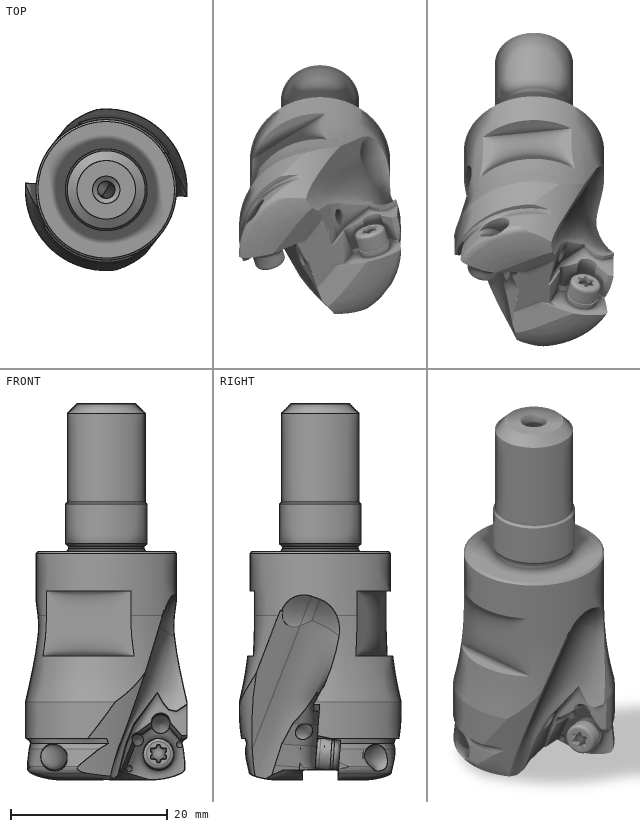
import cadquery as cq
import math


TOTAL_HEIGHT = 48.24
SHANK_RADIUS = 5.0
SHANK_CHAMFER = 1.25
PILOT_RADIUS = 5.25
PILOT_TOP_Z = 35.6
PILOT_BOTTOM_Z = 30.3
NECK_RADIUS = 4.85
NECK_BOTTOM_RADIUS = 5.05
NECK_STEP_HEIGHT = 0.35
SHOULDER_Z = 29.3
SHOULDER_RADIUS = 9.0
SMALL_CHAMFER = 0.25
FLARE_START_Z = 21.1
FLARE_END_Z = 10.0
CUTTER_RADIUS = 10.365
RIM_BOTTOM_Z = 5.3

BORE_RADIUS = 1.1
BORE_MOUTH_RADIUS = 1.75
BORE_MOUTH_DEPTH = 0.8
BORE_BOTTOM_Z = 9.0
BRANCH_RADIUS = 1.0
BRANCH_START = cq.Vector(0, 0, 9.5)
BRANCH_END = cq.Vector(4.2, -2.73, 5.16)

FLAT_WIDTH_ACROSS = 13.9
FLAT_TURN = 19.0
FLAT_BOTTOM_Z = 15.9
FLAT_TOP_Z = 24.2

TIP_SHIFT_X = 0.4
TIP_SHIFT_Y = -0.3
GROOVE_RADIUS = 9.95
GROOVE_LOWER_RADIUS = 9.75
GROOVE_LOWER_Z = 4.7
BAND_TOP_RADIUS = 9.9
BAND_TOP_Z = 3.95
BAND_BOTTOM_RADIUS = 10.1
BAND_BOTTOM_Z = 1.75
TIP_CORNER_RADIUS = 9.5
TIP_CORNER_Z = 0.8
TIP_ARC_MID_RADIUS = 8.2
TIP_ARC_MID_Z = 0.32
TIP_FLAT_RADIUS = 5.6

FLUTE_RADIUS = 4.5
BALL_Y = -1.5
BALL_Z = 19.3
FLUTE_FLOOR_AT_TIP = 0.5
FLUTE_LEAN_IN = 0.30
FLUTE_LEAN_SIDE = 0.39
FLUTE_REACH = 30.0
BALL_SPREAD = 1.2
FLUTE_FLOOR_RISE = 15.0

RELIEF_AXIS_POINT = (-3.0, 0.0, 7.6)
RELIEF_AXIS_DIRECTION = (0.0, -0.23, 1.0)
RELIEF_TOP_Z = 13.8
RELIEF_INNER_Y = -7.3
RELIEF_RIGHT_X = 6.0

POCKET_TILT = 4.0
FACE_Y = -0.75
FLOOR_Y = 2.25
FACE_OUTLINE = [
    (1.2, -1.0), (1.8, 1.5), (2.5, 4.3), (3.55, 7.0), (6.56, 11.2),
    (7.2, 10.0), (8.0, 9.0), (9.0, 8.8), (10.4, 9.7), (12.0, 9.7), (12.0, -1.0),
]
POCKET_OUTLINE = [
    (1.6, -1.0), (4.05, 5.4), (7.2, 7.7), (9.47, 5.06), (12.0, 5.06), (12.0, -1.0),
]
CORNER_RELIEFS = [(6.98, 7.18, 1.2), (4.02, 5.11, 0.75), (2.93, 1.47, 0.4), (9.4, 4.55, 0.4)]
POCKET_DEPTH = 5.0
POCKET_DRAFT = 8.0
DRILL_POINT_RATIO = 0.6

TIP_SLOT_LENGTH = 8.1
TIP_SLOT_DEPTH = 1.3
DISH_POINT = cq.Vector(1.5, FLOOR_Y, 1.27)
DISH_NORMAL = cq.Vector(-0.31, -0.4, -1.0)

SCREW_X = 6.7
SCREW_Z = 3.2
HEAD_RADIUS = 1.97
HEAD_HEIGHT = 3.0
HEAD_ROUND = 0.45
SHANK_HOLE_RADIUS = 1.7
SCREW_SHANK_LENGTH = 3.0
WAIST_RADIUS = 1.85
WAIST_START = 0.75
WAIST_LENGTH = 0.35
TORX_CORE_RADIUS = 0.85
TORX_LOBE_RADIUS = 0.27
TORX_TIP_RADIUS = 1.17
TORX_DEPTH = 1.0
TORX_LOBES = 6

FAR = 40.0


def both_sides(shape):
    """The shape and its copy half a turn about Z."""
    return [shape, shape.rotate((0, 0, 0), (0, 0, 1), 180)]


def pocket_plane(y_at_tip):
    """Plane facing -Y that leans back by the pocket tilt; its local Y runs upwards."""
    tilt = math.radians(POCKET_TILT)
    return cq.Plane(
        origin=(0, y_at_tip, 0),
        xDir=(1, 0, 0),
        normal=(0, -math.cos(tilt), math.sin(tilt)),
    )


def half_space(point, normal):
    """Large block lying beyond the plane through point, on the side the normal points to."""
    plane = cq.Plane(origin=point.toTuple(), normal=normal.toTuple())
    return cq.Workplane(plane).rect(2 * FAR, 2 * FAR).extrude(FAR)


def turned_blank():
    flare_height = FLARE_START_Z - FLARE_END_Z
    flare_growth = CUTTER_RADIUS - SHOULDER_RADIUS
    flare_radius = (flare_height**2 + flare_growth**2) / (2 * flare_growth)
    return (
        cq.Workplane("XZ")
        .moveTo(0, 0)
        .lineTo(CUTTER_RADIUS, 0)
        .lineTo(CUTTER_RADIUS, FLARE_END_Z)
        .radiusArc((SHOULDER_RADIUS, FLARE_START_Z), flare_radius)
        .lineTo(SHOULDER_RADIUS, SHOULDER_Z - SMALL_CHAMFER)
        .lineTo(SHOULDER_RADIUS - SMALL_CHAMFER, SHOULDER_Z)
        .lineTo(NECK_BOTTOM_RADIUS, SHOULDER_Z)
        .lineTo(NECK_RADIUS, SHOULDER_Z + NECK_STEP_HEIGHT)
        .lineTo(NECK_RADIUS, PILOT_BOTTOM_Z - NECK_STEP_HEIGHT)
        .lineTo(PILOT_RADIUS, PILOT_BOTTOM_Z)
        .lineTo(PILOT_RADIUS, PILOT_TOP_Z - SMALL_CHAMFER)
        .lineTo(SHANK_RADIUS, PILOT_TOP_Z)
        .lineTo(SHANK_RADIUS, TOTAL_HEIGHT - SHANK_CHAMFER)
        .lineTo(SHANK_RADIUS - SHANK_CHAMFER, TOTAL_HEIGHT)
        .lineTo(0, TOTAL_HEIGHT)
        .close()
        .revolve(360, (0, 0, 0), (0, 1, 0))
    )


def coolant_bore():
    return (
        cq.Workplane("XZ")
        .moveTo(0, BORE_BOTTOM_Z)
        .lineTo(BORE_RADIUS, BORE_BOTTOM_Z)
        .lineTo(BORE_RADIUS, TOTAL_HEIGHT - BORE_MOUTH_DEPTH)
        .lineTo(BORE_MOUTH_RADIUS, TOTAL_HEIGHT)
        .lineTo(0, TOTAL_HEIGHT)
        .close()
        .revolve(360, (0, 0, 0), (0, 1, 0))
    )


def coolant_branch():
    direction = BRANCH_END - BRANCH_START
    plane = cq.Plane(origin=BRANCH_START.toTuple(), normal=direction.toTuple())
    return cq.Workplane(plane).circle(BRANCH_RADIUS).extrude(direction.Length)


def wrench_flat():
    height = FLAT_TOP_Z - FLAT_BOTTOM_Z
    return (
        cq.Workplane("XY", origin=(0, 0, FLAT_BOTTOM_Z))
        .center(0, -(FLAT_WIDTH_ACROSS + FAR) / 2)
        .rect(FAR, FAR)
        .extrude(height)
        .rotate((0, 0, 0), (0, 0, 1), -FLAT_TURN)
    )


def tip_clearance():
    """Material removed around the tip on the +Y half, below the rim."""
    tip = (
        cq.Workplane("XZ", origin=(TIP_SHIFT_X, TIP_SHIFT_Y, 0))
        .moveTo(0, 0)
        .lineTo(TIP_FLAT_RADIUS, 0)
        .threePointArc((TIP_ARC_MID_RADIUS, TIP_ARC_MID_Z), (TIP_CORNER_RADIUS, TIP_CORNER_Z))
        .tangentArcPoint((BAND_BOTTOM_RADIUS, BAND_BOTTOM_Z), relative=False)
        .lineTo(BAND_TOP_RADIUS, BAND_TOP_Z)
        .lineTo(GROOVE_LOWER_RADIUS, GROOVE_LOWER_Z)
        .lineTo(GROOVE_RADIUS, RIM_BOTTOM_Z)
        .lineTo(0, RIM_BOTTOM_Z)
        .close()
        .revolve(360, (0, 0, 0), (0, 1, 0))
    )
    block = cq.Workplane("XY").center(0, FAR / 2).rect(FAR, FAR).extrude(RIM_BOTTOM_Z)
    return block.cut(tip)


def flute():
    ball_x = FLUTE_FLOOR_AT_TIP + FLUTE_LEAN_IN * BALL_Z + FLUTE_RADIUS
    centre = (ball_x, BALL_Y, BALL_Z)
    down = cq.Vector(-FLUTE_LEAN_IN, -FLUTE_LEAN_SIDE, -1).normalized()
    sideways = cq.Vector(0, 1, -FLUTE_LEAN_SIDE)
    plane = cq.Plane(origin=centre, xDir=sideways.toTuple(), normal=down.toTuple())
    groove = cq.Workplane(plane).circle(FLUTE_RADIUS).extrude(FLUTE_REACH)
    floor = (
        cq.Workplane(plane)
        .polyline([(-FAR, 0), (0, 0), (0, FAR), (-FAR, FAR)])
        .close()
        .extrude(FLUTE_REACH)
        .translate(plane.toWorldCoords((0, -FLUTE_RADIUS, 0)) - plane.origin)
        .rotate(centre, (plane.origin + plane.zDir).toTuple(), -FLUTE_FLOOR_RISE)
    )
    spread = plane.xDir * -BALL_SPREAD
    ball = cq.Workplane("XY", origin=centre).sphere(FLUTE_RADIUS)
    bridge = cq.Workplane(cq.Solid.makeCylinder(FLUTE_RADIUS, BALL_SPREAD, plane.origin, spread))
    return groove.union(floor).union(ball).union(bridge).union(ball.translate(spread))


def flute_relief():
    plane = cq.Plane(origin=RELIEF_AXIS_POINT, normal=RELIEF_AXIS_DIRECTION)
    kept = cq.Workplane(plane).circle(CUTTER_RADIUS).extrude(FAR, both=True)
    block = cq.Workplane("XY").box(FAR, FAR, RELIEF_TOP_Z, centered=False)
    corner = (RELIEF_RIGHT_X - FAR, RELIEF_INNER_Y - FAR, 0)
    return block.translate(corner).cut(kept)


def insert_pocket():
    face = cq.Workplane(pocket_plane(FACE_Y)).polyline(FACE_OUTLINE).close().extrude(FAR / 2)
    seat = cq.Workplane(pocket_plane(FLOOR_Y)).polyline(POCKET_OUTLINE).close()
    seat = seat.extrude(POCKET_DEPTH, taper=-POCKET_DRAFT)
    cutter = face.union(seat)
    for x, z, radius in CORNER_RELIEFS:
        start = pocket_plane(FLOOR_Y).toWorldCoords((x, z, 0))
        axis = pocket_plane(FLOOR_Y).zDir
        drill = cq.Solid.makeCylinder(radius, FAR / 2, start, axis)
        point = cq.Solid.makeCone(radius, 0, DRILL_POINT_RATIO * radius, start, -axis)
        cutter = cutter.union(cq.Workplane(drill)).union(cq.Workplane(point))
    return cutter


def screw_hole():
    return (
        cq.Workplane(pocket_plane(FLOOR_Y))
        .center(SCREW_X, SCREW_Z)
        .circle(SHANK_HOLE_RADIUS)
        .extrude(-FAR / 2)
    )


def tip_dish():
    """Sloped clearance under the +Y half, rising towards the axis."""
    return half_space(DISH_POINT, DISH_NORMAL).intersect(
        cq.Workplane("XY").center(0, FAR / 2).rect(FAR, FAR).extrude(TIP_SLOT_DEPTH)
    )


def tip_slot():
    return cq.Workplane("XY").rect(TIP_SLOT_LENGTH, 2 * FLOOR_Y).extrude(TIP_SLOT_DEPTH)


def milling_head():
    head = turned_blank().cut(coolant_bore()).cut(tip_slot())
    for cutter in (
        coolant_branch(),
        wrench_flat(),
        tip_clearance(),
        flute(),
        flute_relief(),
        insert_pocket(),
        screw_hole(),
        tip_dish(),
    ):
        for copy in both_sides(cutter):
            head = head.cut(copy)
    return head


def clamping_screw():
    seat = cq.Workplane(pocket_plane(FLOOR_Y)).center(SCREW_X, SCREW_Z)
    screw = seat.circle(HEAD_RADIUS).extrude(HEAD_HEIGHT).faces("<Y").edges().fillet(HEAD_ROUND)
    screw = screw.union(seat.circle(SHANK_HOLE_RADIUS).extrude(-SCREW_SHANK_LENGTH))
    waist = seat.workplane(offset=WAIST_START).circle(HEAD_RADIUS).circle(WAIST_RADIUS)
    screw = screw.cut(waist.extrude(WAIST_LENGTH))
    drive = seat.workplane(offset=HEAD_HEIGHT - TORX_DEPTH)
    torx = drive.circle(TORX_CORE_RADIUS).extrude(TORX_DEPTH)
    lobes = (
        drive.polarArray(TORX_TIP_RADIUS - TORX_LOBE_RADIUS, 90, 360, TORX_LOBES)
        .circle(TORX_LOBE_RADIUS)
        .extrude(TORX_DEPTH)
    )
    return screw.cut(torx.union(lobes))


head = milling_head()
screws = both_sides(clamping_screw())

result = cq.Compound.makeCompound([head.val(), *[screw.val() for screw in screws]])